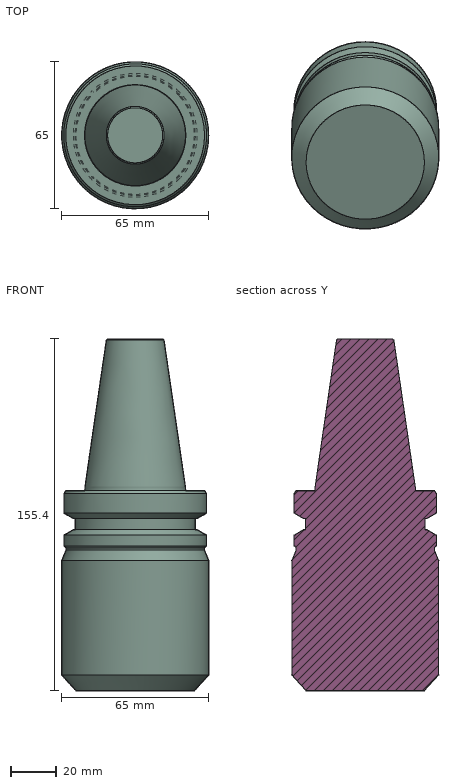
import cadquery as cq

total_height = 155.4
body_radius = 32.5

nose_radius = 26.1
nose_height = 7.0
shoulder_bottom_z = 57.5
shoulder_top_z = 62.2

flange_radius = 31.5
flange_bottom_z = 63.1
flange_top_z = 88.5
flange_bottom_chamfer = 1.0
flange_top_chamfer_width = 1.0
flange_top_chamfer_height = 1.4
groove_radius = 26.5
groove_ledge_radius = 27.4
groove_lower_edge_z = 68.7
groove_floor_bottom_z = 71.2
groove_floor_top_z = 76.0
groove_upper_edge_z = 78.5
neck_radius = flange_radius - flange_bottom_chamfer

taper_ratio = 7 / 24
gauge_radius = 22.2
gauge_z = 90.0
flare_radius = 22.4
flare_height = 0.8
tip_chamfer_width = 0.6
tip_chamfer_height = 0.6
tip_edge_z = total_height - tip_chamfer_height
tip_radius = gauge_radius - (tip_edge_z - gauge_z) * taper_ratio / 2

body_points = [
    (0, 0),
    (nose_radius, 0),
    (body_radius, nose_height),
    (body_radius, shoulder_bottom_z),
    (neck_radius, shoulder_top_z),
]
flange_points = [
    (neck_radius, flange_bottom_z),
    (flange_radius, flange_bottom_z + flange_bottom_chamfer),
    (flange_radius, groove_lower_edge_z),
    (groove_ledge_radius, groove_floor_bottom_z),
    (groove_radius, groove_floor_bottom_z),
    (groove_radius, groove_floor_top_z),
    (groove_ledge_radius, groove_floor_top_z),
    (flange_radius, groove_upper_edge_z),
    (flange_radius, flange_top_z - flange_top_chamfer_height),
    (flange_radius - flange_top_chamfer_width, flange_top_z),
]
shank_points = [
    (flare_radius, flange_top_z),
    (gauge_radius, flange_top_z + flare_height),
    (gauge_radius, gauge_z),
    (tip_radius, tip_edge_z),
    (tip_radius - tip_chamfer_width, total_height),
    (0, total_height),
]

result = (
    cq.Workplane("XZ")
    .polyline(body_points + flange_points + shank_points)
    .close()
    .revolve(360, (0, 0, 0), (0, 1, 0))
)